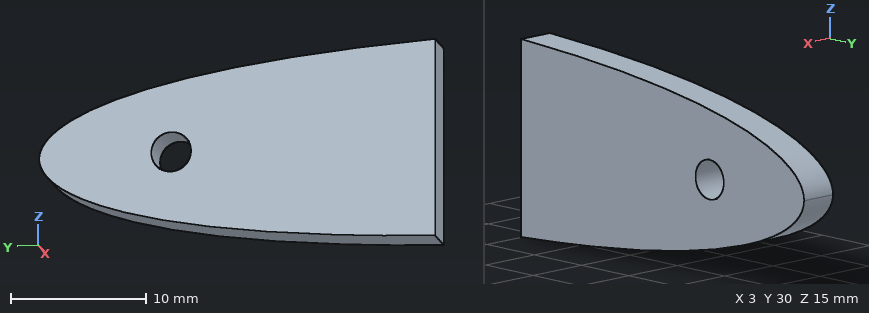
import cadquery as cq

length = 30.0
base_height = 15.0
thickness = 3.0
hole_diameter = 3.0
hole_from_tip = length / 3

tip_handle = 2.95
flank_handle_from_tip = 7.77
flank_handle_height = 6.5

tip_y = length / 2
base_y = -length / 2
half_base = base_height / 2
flank_handle_y = tip_y - flank_handle_from_tip

upper_flank = [
    (base_y, half_base),
    (flank_handle_y, flank_handle_height),
    (tip_y, tip_handle),
    (tip_y, 0),
]
lower_flank = [(y, -z) for y, z in reversed(upper_flank)]

plate = (
    cq.Workplane("YZ", origin=(-thickness / 2, 0, 0))
    .bezier(upper_flank)
    .bezier(lower_flank)
    .close()
    .extrude(thickness)
)

hole = (
    cq.Workplane("YZ", origin=(-thickness / 2, tip_y - hole_from_tip, 0))
    .circle(hole_diameter / 2)
    .extrude(thickness)
)

result = plate.cut(hole)